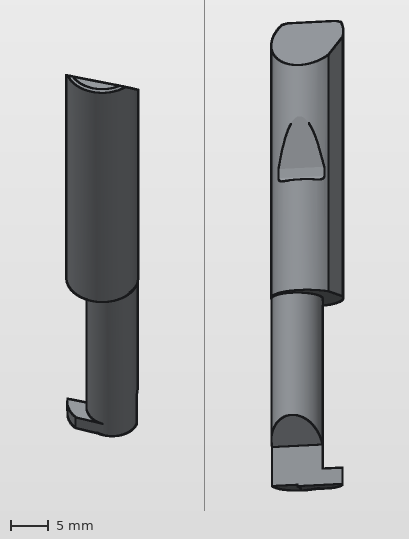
import cadquery as cq
import math

total_length = 63.5
shank_radius = 4.75
shank_bottom = 25.4

bevel_start_y = -2.85
bevel_height = shank_radius - bevel_start_y

rim_chamfer_width = 0.45
rim_chamfer_height = 0.25

flat_front_y = 0.1
flat_back_y = 3.2

notch_bottom = 40.4
notch_top = 48.9
notch_floor_y = 3.6
notch_floor_top = 42.15
notch_corner_radius = 0.6

neck_radius = 3.4
neck_x = shank_radius - neck_radius
neck_bottom = 0.2
relief_end_z = 5.45

head_top = 2.2
head_corner_x = -2.55
head_corner_y = -3.2
head_land_x = -2.8
head_land_y = -3.1
head_end_x = 1.35
head_side_bulge = 0.4
underside_rise = 0.25

margin = 3.2


def yz_prism(points):
    """Prism with a YZ outline, wide enough to pass through the whole shank."""
    half_width = shank_radius + margin
    return cq.Workplane("YZ").polyline(points).close().extrude(half_width, both=True)


def circle_x(y):
    """X on the -X side of the shank circle at the given Y."""
    return -math.sqrt(shank_radius**2 - y**2)


def make_shank():
    shank = (
        cq.Workplane("XY", origin=(0, 0, shank_bottom))
        .circle(shank_radius)
        .extrude(total_length - shank_bottom)
        .faces(">Z")
        .chamfer(rim_chamfer_height, rim_chamfer_width)
    )
    bevel = yz_prism([
        (bevel_start_y, total_length),
        (shank_radius, total_length - bevel_height),
        (shank_radius + margin, total_length - bevel_height - margin),
        (shank_radius + margin, total_length),
    ])
    side_flat = (
        cq.Workplane("XY", origin=(0, 0, shank_bottom))
        .polyline([
            (circle_x(flat_front_y), flat_front_y),
            (circle_x(flat_back_y), flat_back_y),
            (-shank_radius - margin, flat_back_y),
            (-shank_radius - margin, flat_front_y),
        ])
        .close()
        .extrude(total_length - shank_bottom)
    )
    notch = (
        yz_prism([
            (shank_radius, notch_top),
            (notch_floor_y, notch_floor_top),
            (notch_floor_y, notch_bottom),
            (shank_radius + margin, notch_bottom),
            (shank_radius + margin, notch_top),
        ])
        .edges(cq.selectors.NearestToPointSelector((0, notch_floor_y, notch_bottom)))
        .fillet(notch_corner_radius)
    )
    return shank.cut(bevel).cut(side_flat).cut(notch)


def make_neck():
    neck = (
        cq.Workplane("XY", origin=(neck_x, 0, neck_bottom))
        .circle(neck_radius)
        .extrude(shank_bottom - neck_bottom)
    )
    relief_reach = neck_radius + margin
    relief = yz_prism([
        (0, 0),
        (0, relief_end_z),
        (relief_reach, relief_end_z + relief_reach),
        (relief_reach, 0),
    ])
    return neck.cut(relief)


def make_head():
    head_end_y = -math.sqrt(neck_radius**2 - (head_end_x - neck_x)**2)
    chord_x = head_land_x + shank_radius
    chord_length = math.hypot(chord_x, head_land_y)
    side_middle = (
        (head_land_x - shank_radius) / 2 + head_side_bulge * head_land_y / chord_length,
        head_land_y / 2 - head_side_bulge * chord_x / chord_length,
    )
    head = (
        cq.Workplane("XY")
        .moveTo(-shank_radius, 0)
        .threePointArc(side_middle, (head_land_x, head_land_y))
        .lineTo(head_corner_x, head_corner_y)
        .lineTo(head_end_x, head_end_y)
        .lineTo(head_end_x, 0)
        .close()
        .extrude(head_top)
    )
    clearance_slope = underside_rise / head_corner_y
    clearance_y = -shank_radius
    clearance = yz_prism([(0, 0), (clearance_y, clearance_slope * clearance_y), (clearance_y, 0)])
    return head.cut(clearance)


result = make_shank().union(make_neck()).union(make_head())